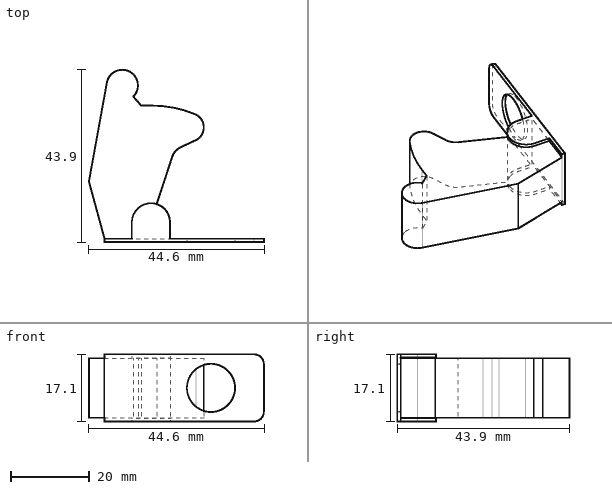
import cadquery as cq
import math

right_end = 44.6
plate_left = 3.95
plate_height = 17.15
sheet = 0.9
plate_corner_radius = 2.6
hole_diameter = 12.2
hole_x = 31.1

tab_radius = 4.85
tab_x = 15.85
tab_y = 5.05
tab_gap = 0.1
lever_height = plate_height - 2 * (sheet + tab_gap)

total_depth = 43.9
heel_y = 15.45
knob_radius = 4.0
knob_x = 8.5
knob_y = total_depth - knob_radius
knob_end_angle = -45.0
shoulder_x = 13.35
shoulder_y = 34.8
shoulder_flat = 2.68
nose_radius = 3.65
nose_x = 25.65
nose_y = 29.2
nose_top_angle = 70.0
nose_under_angle = 25.0
crook_x = 21.8
throat_x = 17.3
crook_radius = 4.0


def on_circle(x, y, radius, degrees):
    """Point on a circle at an angle measured from +X."""
    angle = math.radians(degrees)
    return (x + radius * math.cos(angle), y + radius * math.sin(angle))


def make_plate():
    plate = (
        cq.Workplane("XY")
        .box(right_end - plate_left, sheet, plate_height, centered=(False, False, True))
        .translate((plate_left, 0, 0))
        .edges("|Y and >X")
        .fillet(plate_corner_radius)
    )
    hole = (
        cq.Workplane("XZ", origin=(hole_x, 0, 0))
        .circle(hole_diameter / 2)
        .extrude(-sheet)
    )
    return plate.cut(hole)


def make_tab(bottom_z):
    return (
        cq.Workplane("XY", origin=(0, 0, bottom_z))
        .moveTo(tab_x - tab_radius, 0)
        .lineTo(tab_x + tab_radius, 0)
        .lineTo(tab_x + tab_radius, tab_y)
        .threePointArc((tab_x, tab_y + tab_radius), (tab_x - tab_radius, tab_y))
        .close()
        .extrude(sheet)
    )


def make_lever():
    knob_distance = math.hypot(knob_x, knob_y - heel_y)
    heel_to_knob = math.degrees(math.atan2(knob_y - heel_y, knob_x))
    back_angle = heel_to_knob + math.degrees(math.asin(knob_radius / knob_distance))
    knob_start = on_circle(knob_x, knob_y, knob_radius, back_angle + 90)
    knob_top = (knob_x, total_depth)
    knob_end = on_circle(knob_x, knob_y, knob_radius, knob_end_angle)

    nose_start = on_circle(nose_x, nose_y, nose_radius, nose_top_angle)
    nose_tip = (nose_x + nose_radius, nose_y)
    nose_end = on_circle(nose_x, nose_y, nose_radius, nose_under_angle - 90)
    under_slope = math.tan(math.radians(nose_under_angle))
    crook = (crook_x, nose_end[1] - (nose_end[0] - crook_x) * under_slope)

    foot_angle = math.degrees(math.asin((throat_x - tab_x) / tab_radius))
    foot_start = on_circle(tab_x, tab_y, tab_radius, 90 - foot_angle)
    foot_middle = on_circle(tab_x, tab_y, tab_radius, (90 - foot_angle) / 2)

    lever = (
        cq.Workplane("XY", origin=(0, 0, -lever_height / 2))
        .moveTo(plate_left, sheet)
        .lineTo(0, heel_y)
        .lineTo(*knob_start)
        .threePointArc(knob_top, knob_end)
        .lineTo(shoulder_x, shoulder_y)
        .lineTo(shoulder_x + shoulder_flat, shoulder_y)
        .tangentArcPoint(nose_start, relative=False)
        .threePointArc(nose_tip, nose_end)
        .lineTo(*crook)
        .lineTo(*foot_start)
        .threePointArc(foot_middle, (tab_x + tab_radius, tab_y))
        .lineTo(tab_x + tab_radius, sheet)
        .close()
        .extrude(lever_height)
    )
    crook_edge = cq.selectors.NearestToPointSelector((crook[0], crook[1], 0))
    return lever.edges("|Z").edges(crook_edge).fillet(crook_radius)


lower_tab = make_tab(-plate_height / 2)
upper_tab = make_tab(plate_height / 2 - sheet)
result = make_plate().union(lower_tab).union(upper_tab).union(make_lever())